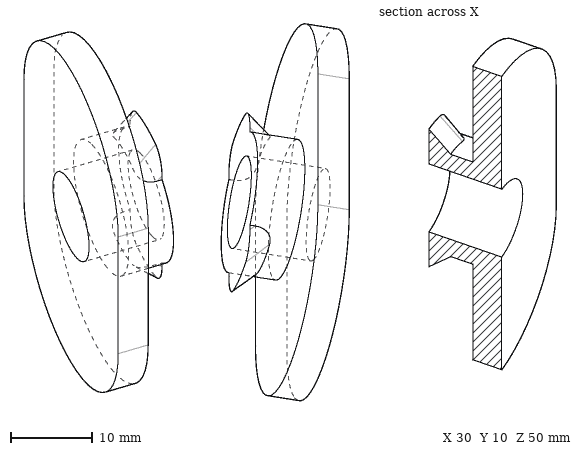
import cadquery as cq

plate_width = 30
plate_height = 50
plate_thickness = 4

total_depth = 10
boss_radius = 8.75
bore_diameter = 11.5

catch_length = 3
catch_width = 10.15
catch_edge_radius = 2.5
catch_tip_radius = boss_radius + catch_length


def make_plate():
    plane = cq.Workplane("XZ")
    return plane.slot2D(plate_height, plate_width, 90).extrude(-plate_thickness)


def make_boss():
    return cq.Workplane("XZ").circle(boss_radius).extrude(-total_depth)


def make_catches():
    """A 45 degree cone trimmed to a bar across the bore, with rounded edges along the flare."""
    catch_start = total_depth - catch_length
    cone = (
        cq.Workplane("XY")
        .moveTo(0, catch_start)
        .lineTo(boss_radius, catch_start)
        .lineTo(catch_tip_radius, total_depth)
        .lineTo(0, total_depth)
        .close()
        .revolve(360, (0, 0, 0), (0, 1, 0))
    )
    bar = cq.Workplane("XY").box(catch_width, 2 * total_depth, 2 * catch_tip_radius)
    return cone.intersect(bar).edges("%HYPERBOLA or %BSPLINE").fillet(catch_edge_radius)


bore = cq.Workplane("XZ").circle(bore_diameter / 2).extrude(-total_depth)

result = make_plate().union(make_boss()).union(make_catches()).cut(bore)